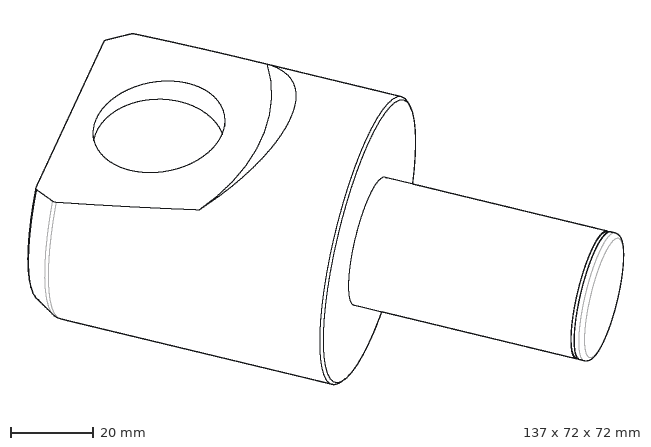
import cadquery as cq
import math

total_length = 137.0
body_length = 76.9
body_diameter = 72.0
shank_diameter = 32.0

nose_chamfer_length = 6.0
nose_chamfer_angle = 30.0
nose_blend_radius = 2.0
face_blend_radius = 0.8
body_rear_chamfer = 0.7

shank_end_radius = 1.1
groove_diameter = 31.5
groove_width = 0.8
groove_end_gap = 1.2

seat_front_height = 19.0
seat_angle = 8.1
seat_radius = 50.7
seat_reach = 49.5
wall_angle = 45.0
cutter_height = 54.8

pocket_diameter = 32.0
pocket_position = 22.9
pocket_floor_height = 15.3


def turned_blank():
    """Revolve the body and shank as one profile, then round the nose and shank end."""
    body_radius = body_diameter / 2
    shank_radius = shank_diameter / 2
    nose_drop = nose_chamfer_length * math.tan(math.radians(nose_chamfer_angle))
    blank = (
        cq.Workplane("XY")
        .moveTo(0, 0)
        .lineTo(0, body_radius - nose_drop)
        .lineTo(nose_chamfer_length, body_radius)
        .lineTo(body_length - body_rear_chamfer, body_radius)
        .lineTo(body_length, body_radius - body_rear_chamfer)
        .lineTo(body_length, shank_radius)
        .lineTo(total_length, shank_radius)
        .lineTo(total_length, 0)
        .close()
        .revolve(360, (0, 0, 0), (1, 0, 0))
    )
    nose_edge = cq.selectors.BoxSelector(
        (nose_chamfer_length - 1.4, -body_diameter, -body_diameter),
        (nose_chamfer_length + 1.4, body_diameter, body_diameter),
    )
    blank = blank.edges("%CIRCLE").edges(nose_edge).fillet(nose_blend_radius)
    blank = blank.faces(">X").edges().fillet(shank_end_radius)
    return blank.faces("<X").edges().fillet(face_blend_radius)


def shank_groove():
    """Shallow ring near the free end of the shank."""
    groove_start = total_length - shank_end_radius - groove_end_gap - groove_width
    return (
        cq.Workplane("YZ", origin=(groove_start, 0, 0))
        .circle(shank_diameter)
        .circle(groove_diameter / 2)
        .extrude(groove_width)
    )


def seat_plane(distance):
    """Workplane on the seat, at a distance up the slope from the front face."""
    slope = math.radians(seat_angle)
    origin = (distance * math.cos(slope), 0, seat_front_height + distance * math.sin(slope))
    normal = (-math.sin(slope), 0, math.cos(slope))
    along = (math.cos(slope), 0, math.sin(slope))
    return cq.Workplane(cq.Plane(origin=origin, xDir=along, normal=normal))


def seat_cutter():
    """Cone that leaves the flat seat and its flared wall."""
    return (
        seat_plane(seat_reach - seat_radius)
        .circle(seat_radius)
        .extrude(cutter_height, taper=-wall_angle)
    )


def pocket():
    """Vertical cylinder rising from the pocket floor past the top of the body."""
    return (
        cq.Workplane("XY", origin=(pocket_position, 0, pocket_floor_height))
        .circle(pocket_diameter / 2)
        .extrude(body_diameter)
    )


result = turned_blank().cut(shank_groove()).cut(seat_cutter()).cut(pocket())